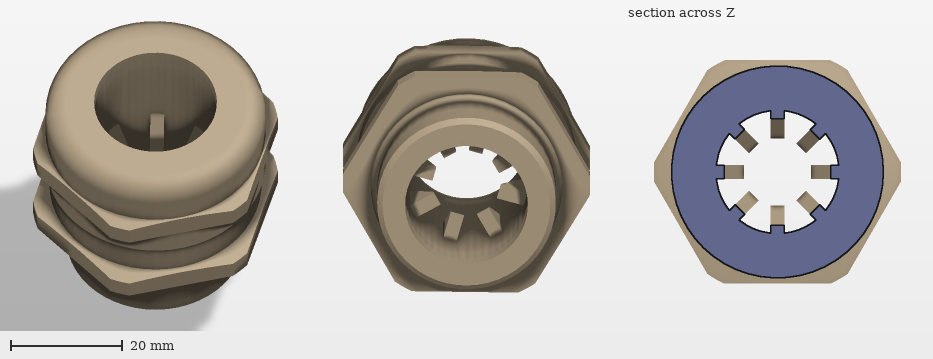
import cadquery as cq
import math

total_height = 42.0
thread_chamfer = 0.97
ring_bottom = 11.0
ring_top = 13.0
shoulder_height = 23.9
upper_hex_bottom = 29.0

thread_radius = 16.0
body_radius = 19.0
cap_radius = 19.7
cap_fillet = 3.5
bore_radius = 11.0
ring_outer_radius = 17.15

hex_sides = 6
hex_across_flats = 40.0
hex_corner_radius = 22.15
hex_corner_height = 3.65
hex_cone_rise = 0.65

finger_count = 8
finger_width = 2.5
finger_tip_radius = 6.0
finger_top = 24.35
finger_slope_angle = 60.0
finger_tip_rounding = 3.5
finger_embed = 0.45


def cylinder(radius, bottom, top):
    return cq.Workplane("XY").workplane(offset=bottom).circle(radius).extrude(top - bottom)


def turned_body():
    thread = cylinder(thread_radius, 0, ring_top).faces("<Z").chamfer(thread_chamfer)
    body = cylinder(body_radius, ring_top, shoulder_height)
    cap = cylinder(cap_radius, shoulder_height, total_height).faces(">Z").edges().fillet(cap_fillet)
    return thread.union(body).union(cap)


def sealing_ring():
    """Ring under the lower collar with a half-round outer edge."""
    edge_radius = (ring_top - ring_bottom) / 2
    straight_radius = ring_outer_radius - edge_radius
    return (
        cq.Workplane("XZ")
        .moveTo(0, ring_bottom)
        .lineTo(straight_radius, ring_bottom)
        .threePointArc((ring_outer_radius, ring_bottom + edge_radius), (straight_radius, ring_top))
        .lineTo(0, ring_top)
        .close()
        .revolve(360, (0, 0), (0, 1))
    )


def hex_collar(bottom, neck_radius):
    """Hexagon trimmed by a disc whose top rises as a cone from the rim to the neck above it."""
    collar_top = bottom + hex_corner_height + hex_cone_rise
    envelope = (
        cq.Workplane("XZ")
        .moveTo(0, bottom)
        .lineTo(hex_corner_radius, bottom)
        .lineTo(hex_corner_radius, bottom + hex_corner_height)
        .lineTo(neck_radius, collar_top)
        .lineTo(0, collar_top)
        .close()
        .revolve(360, (0, 0), (0, 1))
    )
    hexagon = (
        cq.Workplane("XY")
        .workplane(offset=bottom)
        .polygon(hex_sides, hex_across_flats, circumscribed=True)
        .extrude(collar_top - bottom)
        .rotate((0, 0, 0), (0, 0, 1), 180 / hex_sides)
    )
    return hexagon.intersect(envelope)


def finger():
    """Finger along +X: its upper face slopes down from the bore wall and rounds over to a vertical tip."""
    root_radius = bore_radius + finger_embed
    slope = math.radians(finger_slope_angle)

    rounding_center = finger_tip_radius + finger_tip_rounding

    def rounding_offsets(angle):
        return rounding_center - finger_tip_rounding * math.sin(angle), finger_tip_rounding * math.cos(angle)

    start_radius, start_rise = rounding_offsets(slope)
    middle_radius, middle_rise = rounding_offsets((slope + math.pi / 2) / 2)
    tip_bottom = finger_top - (root_radius - start_radius) * math.tan(slope) - start_rise
    return (
        cq.Workplane("XZ")
        .moveTo(root_radius, finger_top)
        .lineTo(start_radius, tip_bottom + start_rise)
        .threePointArc((middle_radius, tip_bottom + middle_rise), (finger_tip_radius, tip_bottom))
        .lineTo(root_radius, tip_bottom)
        .close()
        .extrude(finger_width / 2, both=True)
    )


result = (
    turned_body()
    .union(sealing_ring())
    .union(hex_collar(ring_top, body_radius))
    .union(hex_collar(upper_hex_bottom, cap_radius))
    .cut(cylinder(bore_radius, 0, total_height))
)
for index in range(finger_count):
    result = result.union(finger().rotate((0, 0, 0), (0, 0, 1), index * 360 / finger_count))